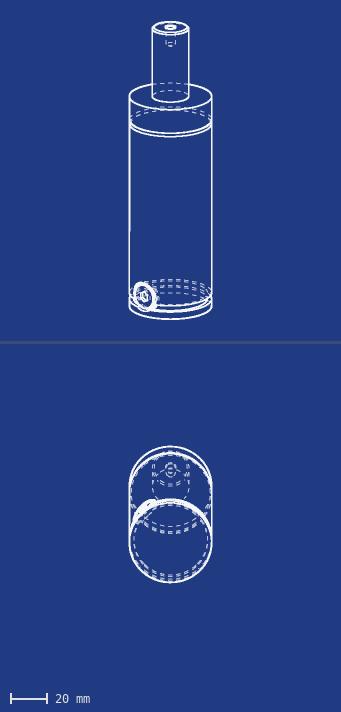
import cadquery as cq
import math

total_height = 161.0
body_diameter = 45.0
body_height = 121.0
rod_diameter = 20.0
rod_chamfer = 1.0

foot_height = 4.2
foot_groove_top = 7.7
foot_groove_diameter = 40.2

head_height = 13.7
head_groove_width = 2.0

rod_hole_diameter = 5.0
rod_hole_mouth_diameter = 6.0
rod_hole_depth = 9.7
drill_point_angle = 118.0

plug_height = 11.0
plug_diameter = 14.0
plug_chamfer = 0.5
plug_face = 21.9
plug_socket_flats = 5.0
plug_socket_depth = 2.0
recess_diameter = 16.1
recess_floor = 19.0

body_radius = body_diameter / 2
rod_radius = rod_diameter / 2


def revolved(profile):
    """Turn an (r, z) outline around the Z axis."""
    return cq.Workplane("XZ").polyline(profile).close().revolve(360, (0, 0), (0, 1))


def cylinder_body():
    """Body, foot groove and piston rod as one turned outline."""
    foot_groove_radius = foot_groove_diameter / 2
    return revolved([
        (0, 0),
        (body_radius, 0),
        (body_radius, foot_height),
        (foot_groove_radius, foot_height),
        (foot_groove_radius, foot_groove_top),
        (body_radius, foot_groove_top),
        (body_radius, body_height),
        (rod_radius, body_height),
        (rod_radius, total_height - rod_chamfer),
        (rod_radius - rod_chamfer, total_height),
        (0, total_height),
    ])


def head_groove():
    """Ring of round section centred on the body surface."""
    section_radius = head_groove_width / 2
    section_height = body_height - head_height - section_radius
    section = cq.Workplane("XZ").center(body_radius, section_height).circle(section_radius)
    return section.revolve(360, (-body_radius, 0), (-body_radius, 1))


def rod_hole():
    """Countersunk blind hole with a drill-point bottom."""
    radius = rod_hole_diameter / 2
    mouth_radius = rod_hole_mouth_diameter / 2
    floor = total_height - rod_hole_depth
    point_depth = radius / math.tan(math.radians(drill_point_angle / 2))
    return revolved([
        (0, floor - point_depth),
        (radius, floor),
        (radius, total_height - (mouth_radius - radius)),
        (mouth_radius, total_height),
        (0, total_height),
    ])


def facing_plane(distance):
    """Plane centred on the plug axis, its normal pointing to -Y."""
    return cq.Workplane("XZ", origin=(0, -distance, plug_height))


def plug_recess():
    return facing_plane(recess_floor).circle(recess_diameter / 2).extrude(body_radius - recess_floor)


def plug():
    """Chamfered round plug with a hexagon socket, corners up and down."""
    blank = facing_plane(0).circle(plug_diameter / 2).extrude(plug_face)
    blank = blank.faces("<Y").chamfer(plug_chamfer)
    socket = (
        facing_plane(plug_face - plug_socket_depth)
        .polygon(6, plug_socket_flats, circumscribed=True)
        .extrude(plug_socket_depth)
    )
    return blank.cut(socket)


plug_bore = facing_plane(0).circle(plug_diameter / 2).extrude(body_radius)

result = cylinder_body()
for removed in (head_groove(), rod_hole(), plug_recess(), plug_bore):
    result = result.cut(removed)
result = result.union(plug())